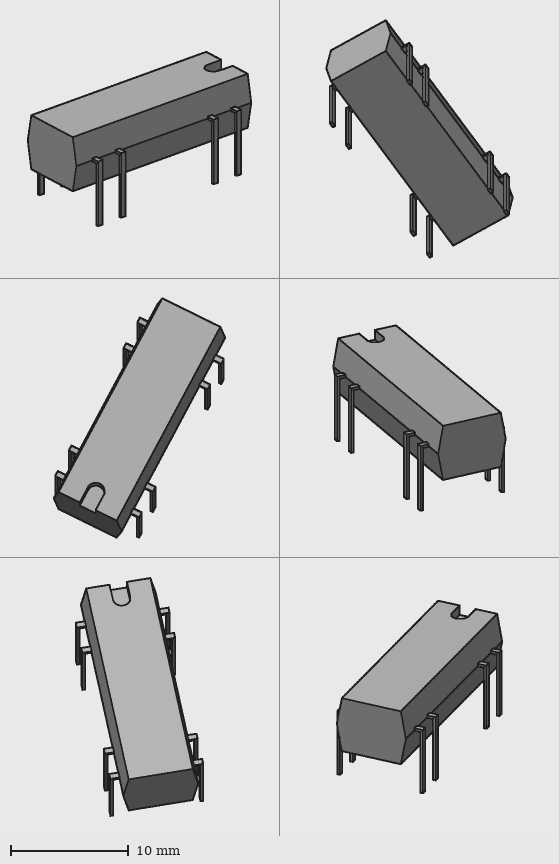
import cadquery as cq

body_length = 19.3
body_width = 6.48
face_width = 5.54
body_height = 5.11

notch_width = 1.5
notch_length = 2.25
notch_depth = 0.9

overall_width = 8.03
overall_height = 8.5
pin_pitch = 2.55
pin_pitch_steps = (-3, -2, 2, 3)
pin_width = 0.5
pin_thickness = 0.25
pin_embed = 0.39

body_top = body_height / 2
pin_top = 0.17
pin_bottom = body_top - overall_height


def make_body():
    half_width = body_width / 2
    half_face = face_width / 2
    section = [
        (-half_face, -body_top),
        (half_face, -body_top),
        (half_width, 0),
        (half_face, body_top),
        (-half_face, body_top),
        (-half_width, 0),
    ]
    return cq.Workplane("XZ").polyline(section).close().extrude(body_length / 2, both=True)


def make_notch():
    radius = notch_width / 2
    end_y = body_length / 2
    arc_y = end_y - notch_length + radius
    return (
        cq.Workplane("XY", origin=(0, 0, body_top - notch_depth))
        .moveTo(-radius, end_y)
        .lineTo(-radius, arc_y)
        .threePointArc((0, arc_y - radius), (radius, arc_y))
        .lineTo(radius, end_y)
        .close()
        .extrude(notch_depth)
    )


def make_pin(side, y):
    """Pin leaving the body sideways and bending down; side is -1 or +1 along X."""
    outer = side * overall_width / 2
    leg_inner = outer - side * pin_thickness
    root = side * (body_width / 2 - pin_embed)
    arm_bottom = pin_top - pin_thickness
    profile = [
        (root, pin_top),
        (outer, pin_top),
        (outer, pin_bottom),
        (leg_inner, pin_bottom),
        (leg_inner, arm_bottom),
        (root, arm_bottom),
    ]
    return (
        cq.Workplane("XZ", origin=(0, y, 0))
        .polyline(profile)
        .close()
        .extrude(pin_width / 2, both=True)
    )


result = make_body().cut(make_notch())
for step in pin_pitch_steps:
    for side in (-1, 1):
        result = result.union(make_pin(side, step * pin_pitch))